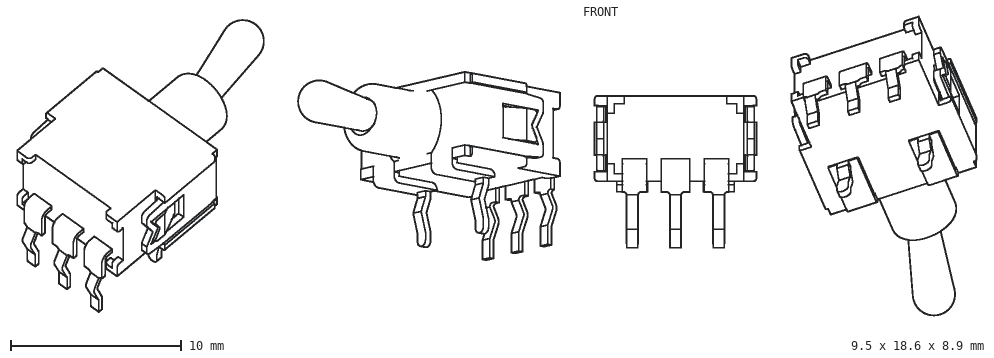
import cadquery as cq
import math


sheet = 0.41

body_height = 5.0
body_half_height = body_height / 2
front_width = 9.5
front_length = 4.7
corner_width = 9.12
corner_length = sheet
edge_radius = 0.19
core_width = 7.98
core_length = 7.5
channel_floor_width = 8.19
channel_height = 3.85

hook_length = 0.52
hook_leg_length = 1.02
hook_bar_height = 0.45
hook_bar_inner_x = 3.0
hook_leg_inner_x = 3.6
hook_radius = 0.22

bushing_diameter = 4.0
bushing_length = 3.98
bushing_face_diameter = 2.8
bushing_tip_radius = (bushing_diameter - bushing_face_diameter) / 2
bushing_root_radius = 0.5
spigot_diameter = 2.8

lug_start = 3.16
lug_height = 1.94
lug_notch_depth = 5.12
lug_slope = 0.555
lug_radius = 0.19

bracket_width = 9.25
bracket_height = 3.75
bracket_outer_bend = 0.25
bracket_inner_bend = 0.11
arm_length = 6.15
arm_tip_height = 3.5
arm_taper_start = 4.7
arm_tip_radius = 0.3
notch_height = 1.9
notch_depth = 0.52
window_start = 2.95
window_height = 2.05
window_end = 5.75
window_apex = 5.17

pin_pitch = 2.53
overall_height = 8.9
overall_length = 18.61
pin_end_z = body_half_height - overall_height

leg_tab_width = 1.82
leg_pin_width = 0.7
leg_gap = 0.2
leg_pin_depth = 3.18
leg_kink_offset = 0.33
leg_kink_start_z = -3.5
leg_kink_z = -4.41
leg_kink_end_z = -5.56

terminal_sheet = 0.3
terminal_top_z = -1.17
terminal_outer_depth = 8.37
terminal_bend_radius = 0.2
terminal_pin_width = 0.65
terminal_shoulder_z = -3.13
terminal_shoulder_radius = 0.22
terminal_half_width = 0.84
terminal_short_side = 0.58
terminal_kink_offset = 0.45
terminal_kink_radius = 0.17
terminal_kink_start_z = -3.31
terminal_kink_z = -4.11
terminal_kink_end_z = -5.27

lever_tilt = 13.0
lever_pivot_y = 2.8
ball_radius = 1.64
knob_radius = 1.25
neck_radius = 0.95


def box(x_range, y_range, z_range):
    """Axis-aligned box between the given limits."""
    size = [high - low for low, high in (x_range, y_range, z_range)]
    return cq.Workplane("XY").box(*size, centered=False).translate((x_range[0], y_range[0], z_range[0]))


def rounded_polygon(plane, corners):
    """Closed outline through corners (a, b, radius); radius 0 leaves a corner sharp."""
    stretches = []
    for i, (a, b, radius) in enumerate(corners):
        here = cq.Vector(a, b)
        if radius == 0:
            stretches.append((here, None, here))
            continue
        before = cq.Vector(*corners[i - 1][:2])
        after = cq.Vector(*corners[(i + 1) % len(corners)][:2])
        to_before = (before - here).normalized()
        to_after = (after - here).normalized()
        half_angle = to_before.getAngle(to_after) / 2
        setback = radius / math.tan(half_angle)
        to_arc = radius / math.sin(half_angle) - radius
        middle = here + (to_before + to_after).normalized() * to_arc
        stretches.append((here + to_before * setback, middle, here + to_after * setback))

    first_end = stretches[0][2]
    outline = cq.Workplane(plane).moveTo(first_end.x, first_end.y)
    for start, middle, end in stretches[1:] + stretches[:1]:
        outline = outline.lineTo(start.x, start.y)
        if middle is not None:
            outline = outline.threePointArc((middle.x, middle.y), (end.x, end.y))
    return outline.close()


def bent_strip(path, thickness, width):
    """Sheet strip centred on X that follows (y, z, inner bend radius) points; None is a sharp bend."""
    points = [cq.Vector(y, z) for y, z, bend in path]
    steps = [(end - start).normalized() for start, end in zip(points, points[1:])]
    left_side = []
    right_side = []
    for i, point in enumerate(points):
        bend = path[i][2]
        arriving = steps[max(i - 1, 0)]
        leaving = steps[min(i, len(steps) - 1)]
        mitre = cq.Vector(-arriving.y - leaving.y, arriving.x + leaving.x)
        offset = mitre * (thickness / (1 + arriving.dot(leaving)) / 2)
        inner = outer = 0
        if bend is not None:
            inner = bend
            outer = bend + thickness
        turns_left = arriving.cross(leaving).z > 0
        left_point = point + offset
        right_point = point - offset
        left_side.append((left_point.x, left_point.y, inner if turns_left else outer))
        right_side.append((right_point.x, right_point.y, outer if turns_left else inner))
    return rounded_polygon("YZ", left_side + right_side[::-1]).extrude(width / 2, both=True)


def make_hook():
    """L-shaped corner behind the core, at +X and +Z."""
    rear = -core_length - hook_length
    y_range = (rear, -core_length)
    bar = box((hook_bar_inner_x, core_width / 2), y_range,
              (body_half_height - hook_bar_height, body_half_height))
    bar = bar.edges("|Z and <X and <Y").fillet(hook_radius)
    leg = box((hook_leg_inner_x, core_width / 2), y_range,
              (body_half_height - hook_leg_length, body_half_height))
    leg = leg.edges("|X and <Z and <Y").fillet(hook_radius)
    return bar.union(leg)


def make_lug():
    """Lug on the +X side: it ramps outwards to the rear and ends in a V notch."""
    half = lug_height / 2
    corner = -(lug_notch_depth + half * lug_slope)
    profile = rounded_polygon("YZ", [
        (-lug_start, -half, 0),
        (-lug_start, half, 0),
        (corner, half, lug_radius),
        (-lug_notch_depth, 0, lug_radius),
        (corner, -half, lug_radius),
    ]).extrude(front_width / 2)
    section = cq.Workplane("XY").polyline([
        (core_width / 2, -lug_start),
        (channel_floor_width / 2, -lug_start),
        (front_width / 2, -front_length),
        (front_width / 2, corner),
        (core_width / 2, corner),
    ]).close().extrude(half, both=True)
    return profile.intersect(section)


def make_front_block():
    """Front of the body with rounded side flanges, side channels and the bracket's recess."""
    z_range = (-body_half_height, body_half_height)
    half_width = front_width / 2
    flanges = box((-half_width, half_width), (-front_length, -corner_length), z_range)
    flanges = flanges.edges("|Y").fillet(edge_radius)
    corners = box((-corner_width / 2, corner_width / 2), (-corner_length, 0), z_range)
    block = flanges.union(corners)
    channel_z = (-channel_height / 2, channel_height / 2)
    for x_range in ((-half_width, -channel_floor_width / 2), (channel_floor_width / 2, half_width)):
        block = block.cut(box(x_range, (-front_length, -corner_length), channel_z))
    recess_z = (-bracket_height / 2, bracket_height / 2)
    block = block.cut(box((-half_width, half_width), (-sheet, 0), recess_z))
    for side in (-1, 1):
        center = side * pin_pitch
        slot_x = (center - leg_tab_width / 2, center + leg_tab_width / 2)
        block = block.cut(box(slot_x, (-sheet, 0), (-body_half_height, -bracket_height / 2)))
    return block


def make_bushing():
    """Bushing with a rounded tip, a flared root and a spigot through the bracket plate."""
    radius = bushing_diameter / 2
    flare_bulge = bushing_root_radius * (1 - math.sqrt(0.5))
    tip_bulge = bushing_tip_radius * (1 - math.sqrt(0.5))
    return (
        cq.Workplane("XY")
        .moveTo(0, -sheet)
        .lineTo(spigot_diameter / 2, -sheet)
        .lineTo(spigot_diameter / 2, 0)
        .lineTo(radius + bushing_root_radius, 0)
        .threePointArc((radius + flare_bulge, flare_bulge), (radius, bushing_root_radius))
        .lineTo(radius, bushing_length - bushing_tip_radius)
        .threePointArc((radius - tip_bulge, bushing_length - tip_bulge),
                       (bushing_face_diameter / 2, bushing_length))
        .lineTo(0, bushing_length)
        .close()
        .revolve(360, (0, 0), (0, 1))
    )


def make_housing(lever):
    core = box((-core_width / 2, core_width / 2), (-core_length, -sheet),
               (-body_half_height, body_half_height))
    hook = make_hook()
    upper_hooks = hook.union(hook.mirror("YZ"))
    lug = make_lug()
    body = make_front_block().union(core).union(make_bushing())
    body = body.union(upper_hooks).union(upper_hooks.mirror("XY"))
    body = body.union(lug).union(lug.mirror("YZ"))
    return body.cut(lever)


def make_lever(tip_y):
    """Tapered lever ending at Y = tip_y in a round knob, standing on a ball inside the bushing."""
    tilt = math.radians(lever_tilt)
    knob_center = (tip_y - knob_radius - lever_pivot_y) / math.cos(tilt)
    neck = math.sqrt(ball_radius ** 2 - neck_radius ** 2)
    taper = math.asin((knob_radius - neck_radius) / (knob_center - neck))
    knob_edge = (knob_radius * math.cos(taper), knob_center - knob_radius * math.sin(taper))
    return (
        cq.Workplane("XY")
        .moveTo(0, -ball_radius)
        .threePointArc((ball_radius, 0), (neck_radius, neck))
        .lineTo(*knob_edge)
        .threePointArc((knob_radius * math.sqrt(0.5), knob_center + knob_radius * math.sqrt(0.5)),
                       (0, knob_center + knob_radius))
        .close()
        .revolve(360, (0, 0), (0, 1))
        .rotate((0, 0, 0), (0, 0, 1), lever_tilt)
        .translate((0, lever_pivot_y, 0))
    )


def make_leg():
    """Bracket leg centred on X = 0: wide tab under the body, then a kinked, round-ended pin."""
    shelf_z = -body_half_height - leg_gap - sheet / 2
    strip = bent_strip([
        (-sheet / 2, -bracket_height / 2, None),
        (-sheet / 2, shelf_z, 0),
        (-leg_pin_depth, shelf_z, 0),
        (-leg_pin_depth, leg_kink_start_z, None),
        (-leg_pin_depth + leg_kink_offset, leg_kink_z, None),
        (-leg_pin_depth, leg_kink_end_z, None),
        (-leg_pin_depth, pin_end_z, None),
    ], sheet, leg_tab_width)
    reach = leg_pin_depth + sheet
    half_pin = leg_pin_width / 2
    tab_x = (-leg_tab_width / 2, leg_tab_width / 2)
    tab = box(tab_x, (-reach, 0), (shelf_z - sheet / 2, -bracket_height / 2))
    round_center_z = pin_end_z + half_pin
    pin = box((-half_pin, half_pin), (-reach, 0), (round_center_z, shelf_z))
    round_end = cq.Workplane("XZ").center(0, round_center_z).circle(half_pin).extrude(reach)
    return strip.intersect(tab.union(pin).union(round_end))


def make_arm_outline():
    """Side shape of both arms: tapered, with a V notch in the tip and a lug window."""
    tip = arm_tip_height / 2
    notch = notch_height / 2
    root = bracket_height / 2
    upper = [
        (0, root, 0),
        (-arm_taper_start, root, 0),
        (-arm_length, tip, arm_tip_radius),
        (-arm_length, notch, 0),
    ]
    apex = (-arm_length + notch_depth, 0, 0)
    lower = [(y, -z, radius) for y, z, radius in reversed(upper)]
    arm = rounded_polygon("YZ", upper + [apex] + lower).extrude(bracket_width / 2, both=True)
    window = cq.Workplane("YZ").polyline([
        (-window_start, window_height / 2),
        (-window_end, window_height / 2),
        (-window_apex, 0),
        (-window_end, -window_height / 2),
        (-window_start, -window_height / 2),
    ]).close().extrude(bracket_width / 2, both=True)
    return arm.cut(window)


def make_bracket():
    half = bracket_width / 2
    z_range = (-bracket_height / 2, bracket_height / 2)
    outside = box((-half, half), (-arm_length, 0), z_range)
    outside = outside.edges("|Z and >Y").fillet(bracket_outer_bend)
    inside = box((sheet - half, half - sheet), (-arm_length, -sheet), z_range)
    inside = inside.edges("|Z and >Y").fillet(bracket_inner_bend)
    bracket = outside.cut(inside).intersect(make_arm_outline())
    hole = cq.Workplane("XZ").circle(spigot_diameter / 2).extrude(sheet)
    bracket = bracket.cut(hole)
    leg = make_leg()
    for side in (-1, 1):
        bracket = bracket.union(leg.translate((side * pin_pitch, 0, 0)))
    return bracket


def make_terminal(left, right):
    """Terminal with its pin at X = 0; its wide part reaches from -left to +right."""
    center = terminal_sheet / 2 - terminal_outer_depth
    strip = bent_strip([
        (-core_length, terminal_top_z - terminal_sheet / 2, None),
        (center, terminal_top_z - terminal_sheet / 2, terminal_bend_radius),
        (center, terminal_kink_start_z, None),
        (center - terminal_kink_offset, terminal_kink_z, terminal_kink_radius),
        (center, terminal_kink_end_z, None),
        (center, pin_end_z, None),
    ], terminal_sheet, 2 * terminal_half_width)
    half_pin = terminal_pin_width / 2
    outline = rounded_polygon("XZ", [
        (-left, terminal_top_z, 0),
        (-left, terminal_shoulder_z, 0),
        (-half_pin, terminal_shoulder_z, terminal_shoulder_radius),
        (-half_pin, pin_end_z, 0),
        (half_pin, pin_end_z, 0),
        (half_pin, terminal_shoulder_z, terminal_shoulder_radius),
        (right, terminal_shoulder_z, 0),
        (right, terminal_top_z, 0),
    ]).extrude(terminal_outer_depth + 2 * terminal_kink_offset)
    return strip.intersect(outline)


terminals = []
for position, left, right in (
    (-1, terminal_short_side, terminal_half_width),
    (0, terminal_half_width, terminal_half_width),
    (1, terminal_half_width, terminal_short_side),
):
    terminals.append(make_terminal(left, right).translate((position * pin_pitch, 0, 0)).val())

rearmost_y = terminals[0].BoundingBox().ymin
lever = make_lever(rearmost_y + overall_length)
housing = make_housing(lever)
bracket = make_bracket()

result = cq.Compound.makeCompound([housing.val(), bracket.val(), lever.val(), *terminals])